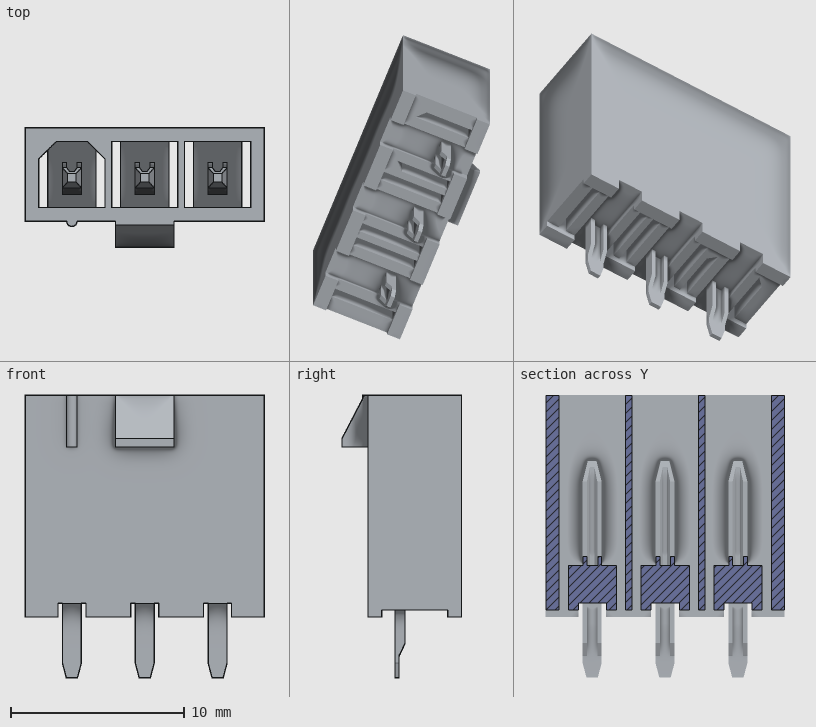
import cadquery as cq

EPS = 0.1

pitch = 4.2
length, depth, height = 13.8, 5.4, 12.8
socket_width, socket_depth = 3.8, 3.8
socket_front = (depth - socket_depth) / 2
socket_back = socket_front + socket_depth
key_chamfer = 1.0
pin_positions = (-pitch, 0, pitch)

foot_height = 0.4
floor_top = 3.0
floor_width = 2.8
notch_width, notch_height = 1.6, 0.8

latch_width, latch_reach = 3.4, 1.5
latch_top_reach = 0.2
latch_height, latch_lip = 3.0, 0.5
rib_radius, rib_height = 0.3, 3.0

pin_width, sheet = 1.1, 0.25
pin_front = 1.55
tail_depth = 0.6
tail_length = 3.5
flange_end, flange_taper_end = 1.5, 2.25
tip_taper_start, tip_width = 2.65, 0.65

base_back, base_top = 3.4, 3.5
contact_front, contact_back = 1.93, 3.09
contact_shoulder, contact_top = 7.8, 9.0
contact_tip = 0.5
seam_depth, seam_width = 0.23, 0.25
contact_tip_y = (contact_front + contact_back) / 2
ramp_top = 4.65


def box(x_size, y_min, y_max, z_min, z_max, x=0):
    """Block centred on x and spanning the given Y and Z ranges."""
    size = (x_size, y_max - y_min, z_max - z_min)
    return cq.Workplane("XY").box(*size, centered=(True, False, False)).translate((x, y_min, z_min))


def side_profile(points, width):
    """Extrude a (Y, Z) outline symmetrically about X = 0."""
    return cq.Workplane("YZ").polyline(points).close().extrude(width / 2, both=True)


def socket(x, keyed):
    """Cavity around a floor block, leaving a through slit on each side of the block."""
    cavity = box(socket_width, socket_front, socket_back, 0, height, x)
    if keyed:
        cavity = cavity.edges("|Z and >Y").chamfer(key_chamfer)
    floor = box(floor_width, socket_front, socket_back, 0, floor_top, x)
    return cavity.cut(floor)


def latch():
    z_bottom = height - latch_height
    outline = [
        (EPS, height),
        (-latch_top_reach, height),
        (-latch_reach, z_bottom + latch_lip),
        (-latch_reach, z_bottom),
        (EPS, z_bottom),
    ]
    return side_profile(outline, latch_width)


def rib():
    base = cq.Workplane("XY", origin=(-pitch, 0, height - rib_height))
    return base.circle(rib_radius).extrude(rib_height)


def housing():
    body = box(length, 0, depth, 0, height)
    body = body.union(latch()).union(rib())
    body = body.cut(box(length, socket_front, socket_back, 0, foot_height))
    for x in pin_positions:
        body = body.cut(socket(x, keyed=(x == -pitch)))
        body = body.cut(box(notch_width, 0, depth, 0, notch_height, x))
    return body


def tail():
    """Solder tail: the flanges run out, then the web narrows to the tip."""
    front, web_back, back = pin_front, pin_front + sheet, pin_front + tail_depth
    outline = [
        (front, notch_height + EPS),
        (back, notch_height + EPS),
        (back, -flange_end),
        (web_back, -flange_taper_end),
        (web_back, -tail_length),
        (front, -tail_length),
    ]
    channel = side_profile(outline, pin_width)
    inner_width = pin_width - 2 * sheet
    channel = channel.cut(box(inner_width, web_back, back, -tail_length, notch_height + EPS))
    half, half_tip = pin_width / 2, tip_width / 2
    silhouette = (
        cq.Workplane("XZ")
        .polyline([
            (-half, notch_height + EPS),
            (-half, -tip_taper_start),
            (-half_tip, -tail_length),
            (half_tip, -tail_length),
            (half, -tip_taper_start),
            (half, notch_height + EPS),
        ])
        .close()
        .extrude(-depth)
    )
    return channel.intersect(silhouette)


def seam():
    """Groove up the back of the blade, where the rolled-in flanges leave a tapering gap."""
    half_mouth, half_seam = pin_width / 2 - sheet, seam_width / 2
    seam_front = contact_back - seam_depth
    outline = [
        (-half_mouth, contact_back),
        (-half_seam, seam_front),
        (half_seam, seam_front),
        (half_mouth, contact_back),
    ]
    base = cq.Workplane("XY", origin=(0, 0, floor_top))
    return base.polyline(outline).close().extrude(contact_top - floor_top)


def contact():
    """Contact blade with a pyramidal tip, on a base with a front ramp and two rear legs."""
    contact_depth = contact_back - contact_front
    blade = box(pin_width, contact_front, contact_back, floor_top - EPS, contact_shoulder)
    tip = (
        cq.Workplane("XY", origin=(0, contact_tip_y, contact_shoulder))
        .rect(pin_width, contact_depth)
        .workplane(offset=contact_top - contact_shoulder)
        .rect(contact_tip, contact_tip)
        .loft(ruled=True)
    )
    ramp = [
        (pin_front, floor_top - EPS),
        (pin_front, base_top),
        (contact_front, ramp_top),
        (contact_front + EPS, ramp_top),
        (contact_front + EPS, floor_top - EPS),
    ]
    body = blade.union(tip).union(side_profile(ramp, pin_width))
    leg_offset = (pin_width - sheet) / 2
    for x in (-leg_offset, leg_offset):
        body = body.union(box(sheet, contact_back - EPS, base_back, floor_top - EPS, base_top, x))
    return body.cut(seam())


result = housing()
pin = tail().union(contact())
for x in pin_positions:
    result = result.union(pin.translate((x, 0, 0)))